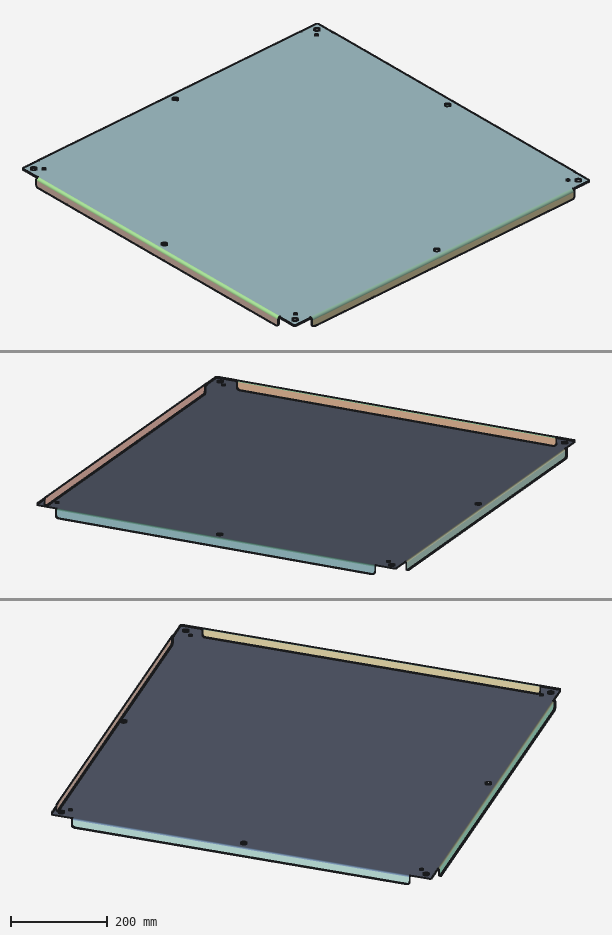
import cadquery as cq

panel_size = 837.0
panel_height = 23.0
sheet_thickness = 3.0

corner_inset = 4.0
corner_radius = 3.0

flange_length = 736.0
bend_outer_radius = 6.0
bend_inner_radius = bend_outer_radius - sheet_thickness
flange_corner_radius = 7.0

mounting_hole_diameter = 12.5
mounting_hole_offset = 397.0
small_hole_diameter = 7.1
small_hole_offset = 382.0

half_size = panel_size / 2
corner_half = half_size - corner_inset
bend_line = half_size - bend_outer_radius
side_angles = (0, 90, 180, 270)
plate_underside = panel_height - sheet_thickness


def make_plate():
    """Flat square sheet with rounded corners, cut back to the bend lines along each flange."""
    plate = (
        cq.Workplane("XY")
        .workplane(offset=plate_underside)
        .rect(2 * corner_half, 2 * corner_half)
        .extrude(sheet_thickness)
        .edges("|Z")
        .fillet(corner_radius)
    )
    bend_strip = (
        cq.Workplane("XY")
        .box(bend_outer_radius, flange_length, panel_height, centered=(False, True, False))
        .translate((bend_line, 0, 0))
    )
    for angle in side_angles:
        plate = plate.cut(bend_strip.rotate((0, 0, 0), (0, 0, 1), angle))
    return plate


def make_flange():
    """Bend and downward flange along the +X side, with rounded lower corners."""
    bend_center_z = panel_height - bend_outer_radius
    inner_face = half_size - sheet_thickness
    flange = (
        cq.Workplane("XZ")
        .moveTo(bend_line, panel_height)
        .radiusArc((half_size, bend_center_z), bend_outer_radius)
        .lineTo(half_size, 0)
        .lineTo(inner_face, 0)
        .lineTo(inner_face, bend_center_z)
        .radiusArc((bend_line, plate_underside), -bend_inner_radius)
        .close()
        .extrude(flange_length / 2, both=True)
    )
    return flange.faces("<Z").edges("|X").fillet(flange_corner_radius)


def make_holes(positions, diameter):
    """Vertical cutters through the plate at the given positions."""
    return (
        cq.Workplane("XY")
        .pushPoints(positions)
        .circle(diameter / 2)
        .extrude(panel_height)
    )


def corner_positions(offset):
    """Four points on the diagonals of the plate."""
    return [(x, y) for x in (-offset, offset) for y in (-offset, offset)]


side_middles = [
    (-mounting_hole_offset, 0),
    (mounting_hole_offset, 0),
    (0, -mounting_hole_offset),
    (0, mounting_hole_offset),
]
mounting_positions = corner_positions(mounting_hole_offset) + side_middles
small_positions = corner_positions(small_hole_offset)

result = make_plate()
side_flange = make_flange()
for angle in side_angles:
    result = result.union(side_flange.rotate((0, 0, 0), (0, 0, 1), angle))

result = result.cut(make_holes(mounting_positions, mounting_hole_diameter))
result = result.cut(make_holes(small_positions, small_hole_diameter))